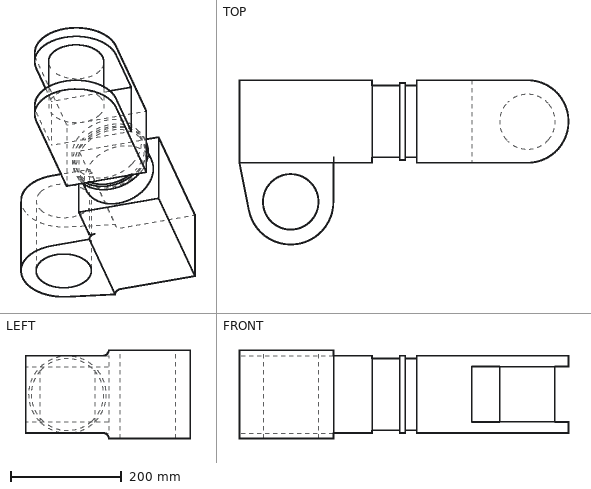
import cadquery as cq
import math

total_length = 595.0
body_width = 150.0
body_height = 140.0
block_length = 240.0
neck_length = 80.5
neck_diameter = 130.5
collar_diameter = 140.0
collar_width = 10.0
collar_offset = 50.0
slot_height = 100.0
slot_depth = 175.0
pin_diameter = 100.0
lug_height = 160.0
lug_width = 170.0
lug_drop = 147.5
lug_radius = 77.5
bore_diameter = 100.0

half_width = body_width / 2
fork_start = block_length + neck_length
fork_center = total_length - half_width
lug_x = lug_width - lug_radius
lug_y = -half_width - lug_drop + lug_radius
step_height = (lug_height - body_height) / 2


def shaft_disc(start, length, diameter):
    """Solid cylinder along the shaft axis."""
    return cq.Workplane("YZ", origin=(start, 0, 0)).circle(diameter / 2).extrude(length)


def upright_cylinder(x, y, diameter, height):
    """Vertical cylinder centred on the mid-plane."""
    return cq.Workplane("XY").center(x, y).circle(diameter / 2).extrude(height / 2, both=True)


def make_block():
    block = cq.Workplane("XY").box(block_length, body_width, body_height)
    return block.translate((block_length / 2, 0, 0))


def make_neck():
    neck = shaft_disc(block_length, neck_length, neck_diameter)
    return neck.union(shaft_disc(block_length + collar_offset, collar_width, collar_diameter))


def make_fork():
    fork = (
        cq.Workplane("XY")
        .moveTo(fork_start, -half_width)
        .lineTo(fork_center, -half_width)
        .threePointArc((total_length, 0), (fork_center, half_width))
        .lineTo(fork_start, half_width)
        .close()
        .extrude(body_height / 2, both=True)
    )
    slot = cq.Workplane("XY").box(slot_depth, body_width, slot_height)
    fork = fork.cut(slot.translate((total_length - slot_depth / 2, 0, 0)))
    return fork.union(upright_cylinder(fork_center, 0, pin_diameter, slot_height))


def make_lug():
    center_drop = -half_width - lug_y
    corner_distance = math.hypot(lug_x, center_drop)
    slope = math.atan2(center_drop, lug_x) + math.asin(lug_radius / corner_distance)
    tangent_point = (
        lug_x - lug_radius * math.sin(slope),
        lug_y - lug_radius * math.cos(slope),
    )
    lug = (
        cq.Workplane("XY")
        .moveTo(0, -half_width)
        .lineTo(*tangent_point)
        .threePointArc((lug_x, lug_y - lug_radius), (lug_width, lug_y))
        .lineTo(lug_width, -half_width)
        .close()
        .extrude(lug_height / 2, both=True)
    )
    return lug.cut(upright_cylinder(lug_x, lug_y, bore_diameter, lug_height))


def make_step_fillet():
    """Concave fillet from the block's top face up to the lug's taller face."""
    top = body_height / 2
    arc_reach = step_height * (1 - math.sqrt(0.5))
    return (
        cq.Workplane("YZ")
        .moveTo(-half_width, top)
        .lineTo(-half_width + step_height, top)
        .threePointArc(
            (-half_width + arc_reach, top + arc_reach),
            (-half_width, top + step_height),
        )
        .close()
        .extrude(lug_width)
    )


step_fillet = make_step_fillet()
result = (
    make_block()
    .union(make_neck())
    .union(make_fork())
    .union(make_lug())
    .union(step_fillet)
    .union(step_fillet.mirror("XY"))
)